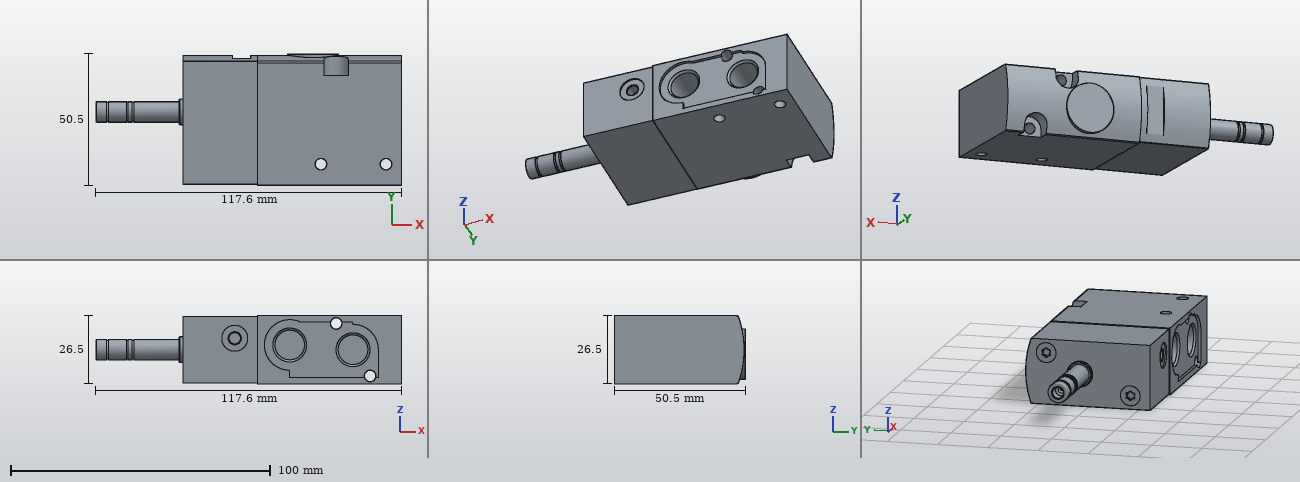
import cadquery as cq
import math


TOTAL_LENGTH = 117.6
BODY_HEIGHT = 26.5
MID_HEIGHT = BODY_HEIGHT / 2
BODY_START = 62.1
CROWN_DEPTH = 50.0
CROWN_RADIUS = 38.8
BODY_EDGE_BEVEL = (0.7, 0.4)

HOUSING_START = 33.4
HOUSING_INSET = 0.4
HOUSING_EDGE_BEVEL = (0.2, 0.2)
SLOT_START = 52.6
SLOT_WIDTH = 6.9
SLOT_DEPTH = 1.2

PORT_DIAMETER = 11.4
PORT_DEPTH = 14.1
PORT_CHAMFER = 0.8
EXHAUST_PORT = (74.5, 15.0)
SUPPLY_PORT = (98.9, MID_HEIGHT)
RECESS_RADIUS = 9.8
RECESS_DEPTH = 1.2
RECESS_BOTTOM = 2.5
RECESS_TOP = 24.0

BOSS_DIAMETER = 19.5
BOSS_FACE = 50.5
BOSS_CENTER = (83.5, 11.5)

MOUNT_HOLE_DIAMETER = 4.4
HEAD_RECESS_DIAMETER = 9.3
HEAD_RECESS_FLOOR = 42.3
MOUNT_HOLE_OFFSET = 10.1
UPPER_CROSS_HOLE = (92.4, MID_HEIGHT + MOUNT_HOLE_OFFSET)
LOWER_CROSS_HOLE = (105.5, MID_HEIGHT - MOUNT_HOLE_OFFSET)
VERTICAL_HOLES = ((86.5, 8.1), (111.6, 8.1))

OVERRIDE_CENTER = (53.4, 17.6)
OVERRIDE_RECESS_DIAMETER = 10.0
OVERRIDE_RECESS_DEPTH = 0.6
OVERRIDE_HOLE_DIAMETER = 4.4
OVERRIDE_HOLE_CHAMFER = 0.4
OVERRIDE_HOLE_DEPTH = 4.7

STEM_Y = 28.2
STEM_DIAMETER = 8.0
STEM_TIP_ROUND = 0.5
COLLAR_DIAMETER = 10.0
COLLAR_LENGTH = 1.4
COLLAR_CHAMFER = 0.4
GROOVE_STARTS = (4.1, 11.6, 13.9)
GROOVE_WIDTH = 0.7
GROOVE_DEPTH = 0.4
BORE_DIAMETER = 4.4
BORE_CHAMFER = 0.4
BORE_DEPTH = 4.7
BORE_STEP_DIAMETER = 2.5
BORE_TIP_DIAMETER = 0.9
BORE_CONE_SLOPE = 0.5
BORE_TIP_SLOPE = 1

SCREW_DIAMETER = 7.9
SCREW_DEPTH = 4.7
SCREW_HEIGHT_OFFSET = 7.5
SCREW_CENTERS = ((41.7, MID_HEIGHT + SCREW_HEIGHT_OFFSET), (8.2, MID_HEIGHT - SCREW_HEIGHT_OFFSET))
SOCKET_DEPTH = 1.4
SOCKET_CORE_DIAMETER = 2.8
SOCKET_OUTER_DIAMETER = 3.8
SOCKET_LOBE_DIAMETER = 0.9
SOCKET_LOBES = 6


def crowned_block(start, end, inset, bevel):
    """Block along X whose +Y face is a shallow arc, with bevelled (width, height) edges beside the arc."""
    bevel_width, bevel_height = bevel
    half_height = MID_HEIGHT - inset
    arc_half_height = half_height - bevel_height
    arc_end = CROWN_DEPTH - CROWN_RADIUS + math.sqrt(CROWN_RADIUS**2 - arc_half_height**2)
    return (
        cq.Workplane("YZ", origin=(start, 0, MID_HEIGHT))
        .moveTo(inset, -half_height)
        .lineTo(arc_end - bevel_width, -half_height)
        .lineTo(arc_end, -arc_half_height)
        .threePointArc((CROWN_DEPTH, 0), (arc_end, arc_half_height))
        .lineTo(arc_end - bevel_width, half_height)
        .lineTo(inset, half_height)
        .close()
        .extrude(end - start)
    )


def y_cylinder(center, diameter, start, end):
    """Cylinder along Y at an (x, z) center."""
    x, z = center
    axis = cq.Vector(0, 1, 0)
    return cq.Workplane(cq.Solid.makeCylinder(diameter / 2, end - start, cq.Vector(x, start, z), axis))


def y_chamfered_hole(center, diameter, chamfer, start, depth):
    """Blind hole along Y with a chamfered mouth at y = start."""
    x, z = center
    radius = diameter / 2
    mouth = cq.Solid.makeCone(
        radius + chamfer, radius, chamfer, cq.Vector(x, start, z), cq.Vector(0, 1, 0)
    )
    return y_cylinder(center, diameter, start, start + depth).union(cq.Workplane(mouth))


def sealing_recess():
    """Shallow pocket that follows both front ports."""
    left_x, left_z = EXHAUST_PORT
    right_x, right_z = SUPPLY_PORT
    top_rise = RECESS_TOP - left_z
    top_start = left_x + math.sqrt(RECESS_RADIUS**2 - top_rise**2)
    diagonal = RECESS_RADIUS * math.sqrt(0.5)
    arc_top = right_z + RECESS_RADIUS
    corner_radius = RECESS_TOP - arc_top
    corner_diagonal = corner_radius * math.sqrt(0.5)
    return (
        cq.Workplane("XZ")
        .moveTo(left_x, RECESS_BOTTOM)
        .lineTo(right_x + RECESS_RADIUS, RECESS_BOTTOM)
        .lineTo(right_x + RECESS_RADIUS, right_z)
        .threePointArc((right_x + diagonal, right_z + diagonal), (right_x, arc_top))
        .threePointArc(
            (right_x - corner_radius + corner_diagonal, arc_top + corner_diagonal),
            (right_x - corner_radius, RECESS_TOP),
        )
        .lineTo(top_start, RECESS_TOP)
        .threePointArc((left_x - RECESS_RADIUS, left_z), (left_x, left_z - RECESS_RADIUS))
        .close()
        .extrude(-RECESS_DEPTH)
    )


def head_recess(center, open_height):
    """U-shaped recess for a screw head, with straight walls out to the face at open_height."""
    x, z = center
    depth = BOSS_FACE - HEAD_RECESS_FLOOR
    channel = (
        cq.Workplane("XY", origin=(x, HEAD_RECESS_FLOOR, (z + open_height) / 2))
        .box(HEAD_RECESS_DIAMETER, depth, abs(open_height - z), centered=(True, False, True))
    )
    return y_cylinder(center, HEAD_RECESS_DIAMETER, HEAD_RECESS_FLOOR, BOSS_FACE).union(channel)


def make_body():
    body = crowned_block(BODY_START, TOTAL_LENGTH, 0, BODY_EDGE_BEVEL)
    body = body.union(y_cylinder(BOSS_CENTER, BOSS_DIAMETER, HEAD_RECESS_FLOOR, BOSS_FACE))
    body = body.cut(sealing_recess())
    for port in (EXHAUST_PORT, SUPPLY_PORT):
        body = body.cut(y_chamfered_hole(port, PORT_DIAMETER, PORT_CHAMFER, RECESS_DEPTH, PORT_DEPTH))
    for hole, open_height in ((UPPER_CROSS_HOLE, BODY_HEIGHT), (LOWER_CROSS_HOLE, 0)):
        body = body.cut(y_cylinder(hole, MOUNT_HOLE_DIAMETER, 0, BOSS_FACE))
        body = body.cut(head_recess(hole, open_height))
    vertical_holes = (
        cq.Workplane("XY").pushPoints(VERTICAL_HOLES).circle(MOUNT_HOLE_DIAMETER / 2).extrude(BODY_HEIGHT)
    )
    return body.cut(vertical_holes)


def make_stem():
    """Turned stem with collar, ring grooves and a tapered blind bore, ending at the housing face."""
    stem_plane = cq.Workplane("YZ", origin=(0, STEM_Y, MID_HEIGHT))
    stem = stem_plane.circle(STEM_DIAMETER / 2).extrude(HOUSING_START)
    stem = stem.faces("<X").fillet(STEM_TIP_ROUND)
    collar = (
        stem_plane.workplane(offset=HOUSING_START - COLLAR_LENGTH)
        .circle(COLLAR_DIAMETER / 2)
        .extrude(COLLAR_LENGTH)
        .faces("<X")
        .chamfer(COLLAR_CHAMFER)
    )
    stem = stem.union(collar)
    for groove_start in GROOVE_STARTS:
        groove = (
            stem_plane.workplane(offset=groove_start)
            .circle(STEM_DIAMETER / 2)
            .circle(STEM_DIAMETER / 2 - GROOVE_DEPTH)
            .extrude(GROOVE_WIDTH)
        )
        stem = stem.cut(groove)
    return stem.cut(stem_bore())


def stem_bore():
    """Stepped bore: chamfered mouth, straight wall, then a cone in two slopes to a small flat."""
    bore_radius = BORE_DIAMETER / 2
    step_radius = BORE_STEP_DIAMETER / 2
    tip_radius = BORE_TIP_DIAMETER / 2
    step_depth = BORE_DEPTH + BORE_CONE_SLOPE * (bore_radius - step_radius)
    tip_depth = step_depth + BORE_TIP_SLOPE * (step_radius - tip_radius)
    axis_start = (0, STEM_Y, 0)
    axis_end = (1, STEM_Y, 0)
    return (
        cq.Workplane("XY", origin=(0, 0, MID_HEIGHT))
        .moveTo(0, STEM_Y)
        .lineTo(0, STEM_Y + bore_radius + BORE_CHAMFER)
        .lineTo(BORE_CHAMFER, STEM_Y + bore_radius)
        .lineTo(BORE_DEPTH, STEM_Y + bore_radius)
        .lineTo(step_depth, STEM_Y + step_radius)
        .lineTo(tip_depth, STEM_Y + tip_radius)
        .lineTo(tip_depth, STEM_Y)
        .close()
        .revolve(360, axis_start, axis_end)
    )


def screw_blank(center):
    y, z = center
    return (
        cq.Workplane("YZ", origin=(HOUSING_START, y, z)).circle(SCREW_DIAMETER / 2).extrude(SCREW_DEPTH)
    )


def make_housing():
    """Pilot housing in one piece with its armature stem."""
    housing = crowned_block(HOUSING_START, BODY_START, HOUSING_INSET, HOUSING_EDGE_BEVEL)
    slot = (
        cq.Workplane("XY")
        .moveTo(SLOT_START, CROWN_DEPTH - SLOT_DEPTH)
        .rect(SLOT_WIDTH, SLOT_DEPTH, centered=False)
        .extrude(BODY_HEIGHT)
    )
    override_floor = HOUSING_INSET + OVERRIDE_RECESS_DEPTH
    override_recess = y_cylinder(OVERRIDE_CENTER, OVERRIDE_RECESS_DIAMETER, HOUSING_INSET, override_floor)
    override_hole = y_chamfered_hole(
        OVERRIDE_CENTER, OVERRIDE_HOLE_DIAMETER, OVERRIDE_HOLE_CHAMFER, override_floor, OVERRIDE_HOLE_DEPTH
    )
    housing = housing.cut(slot).cut(override_recess).cut(override_hole)
    for center in SCREW_CENTERS:
        housing = housing.cut(screw_blank(center))
    return housing.union(make_stem())


def make_screw(center):
    """Flush screw head with a six-lobe socket, one lobe pointing up."""
    y, z = center
    socket_plane = cq.Workplane("YZ", origin=(HOUSING_START, y, z))
    lobe_distance = (SOCKET_OUTER_DIAMETER - SOCKET_LOBE_DIAMETER) / 2
    core = socket_plane.circle(SOCKET_CORE_DIAMETER / 2).extrude(SOCKET_DEPTH)
    lobes = (
        socket_plane.polarArray(lobe_distance, 90, 360, SOCKET_LOBES)
        .circle(SOCKET_LOBE_DIAMETER / 2)
        .extrude(SOCKET_DEPTH)
    )
    return screw_blank(center).cut(core).cut(lobes)


body = make_body()
housing = make_housing()
screws = [make_screw(center).val() for center in SCREW_CENTERS]

result = cq.Compound.makeCompound([body.val(), housing.val(), *screws])